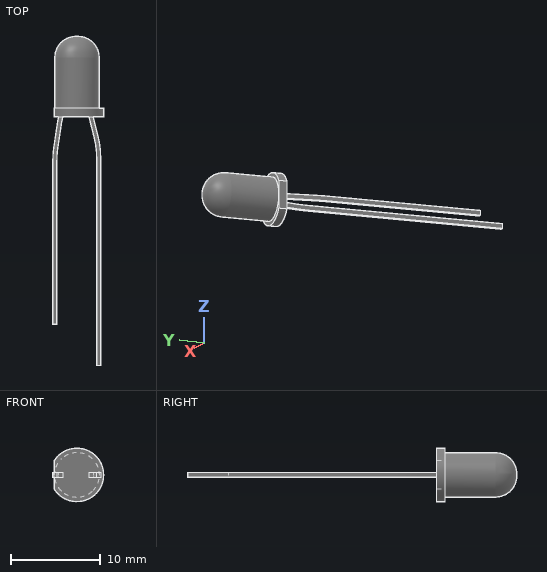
import cadquery as cq
import math

housing_length = 9.02
housing_radius = 2.5
dome_fillet = 2.4
flange_diameter = 6.0
flange_radius = flange_diameter / 2
flange_thickness = 1.0
flat_distance = 2.55

total_length = 36.83
lead_width = 0.48
lead_height = 0.55
long_lead_reach = total_length - housing_length
short_lead_reach = 23.2
total_width = 5.7
short_lead_x = -(total_width - flange_radius - lead_width / 2)
long_lead_x = 2.43

root_length = 0.55
short_root_angle = 12.0
short_slant_angle = 8.5
short_bend_start = 3.43
short_bend_end = 4.85
long_slant_angle = 14.2
long_bend_start = 2.2
long_bend_end = 4.55


def make_housing():
    """Domed cylinder with a flange that is flattened on its -X side."""
    barrel = cq.Workplane("XZ").circle(housing_radius).extrude(-housing_length)
    barrel = barrel.faces(">Y").edges().fillet(dome_fillet)
    flange = cq.Workplane("XZ").circle(flange_radius).extrude(-flange_thickness)
    flat_keeper = cq.Workplane("XY").box(
        flat_distance + flange_radius, 2 * flange_thickness, flange_diameter
    ).translate(((flange_radius - flat_distance) / 2, 0, 0))
    return barrel.union(flange.intersect(flat_keeper))


def make_lead(end_x, root_angle, slant_angle, bend_start, bend_end, reach):
    """Wire that leaves the flange at a slant and bends to run along -Y at x = end_x."""
    outward = math.copysign(1, end_x)
    root_slant = math.radians(root_angle)
    slant = math.radians(slant_angle)

    bend_radius = (bend_end - bend_start) / math.sin(slant)
    bend_center_x = end_x - outward * bend_radius

    def arc_point(angle):
        return (
            bend_center_x + outward * bend_radius * math.cos(angle),
            -bend_end + bend_radius * math.sin(angle),
        )

    arc_start = arc_point(slant)
    slant_start_x = arc_start[0] - outward * (bend_start - root_length) * math.tan(slant)

    overrun = lead_width
    start_x = slant_start_x - outward * (root_length + overrun) * math.tan(root_slant)
    path = (
        cq.Workplane("XY")
        .moveTo(start_x, overrun)
        .lineTo(slant_start_x, -root_length)
        .lineTo(*arc_start)
        .threePointArc(arc_point(slant / 2), (end_x, -bend_end))
        .lineTo(end_x, -reach)
    )
    start_plane = cq.Plane(
        origin=(start_x, overrun, 0),
        xDir=(math.cos(root_slant), outward * math.sin(root_slant), 0),
        normal=(outward * math.sin(root_slant), -math.cos(root_slant), 0),
    )
    wire = cq.Workplane(start_plane).rect(lead_width, lead_height).sweep(path, transition="right")

    behind_flange = cq.Workplane("XZ").rect(flange_diameter, flange_diameter).extrude(total_length)
    return wire.intersect(behind_flange).solids()


housing = make_housing()
short_lead = make_lead(
    short_lead_x, short_root_angle, short_slant_angle, short_bend_start, short_bend_end, short_lead_reach
)
long_lead = make_lead(
    long_lead_x, long_slant_angle, long_slant_angle, long_bend_start, long_bend_end, long_lead_reach
)

result = cq.Compound.makeCompound([housing.val(), short_lead.val(), long_lead.val()])